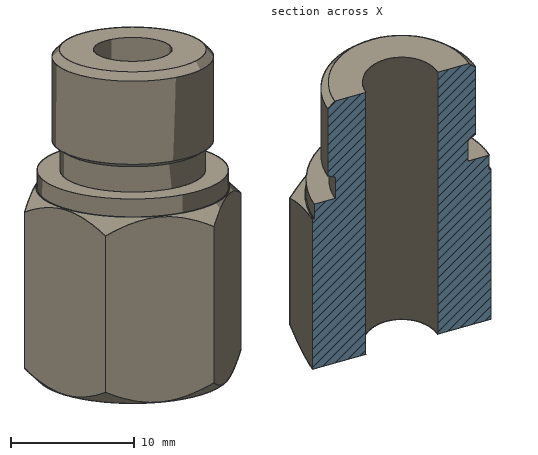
import cadquery as cq
import math

total_height = 27.7
hex_across_flats = 15.87
hex_height = 15.9
collar_diameter = 15.55
collar_top = 17.42
neck_diameter = 11.85
thread_diameter = 13.15
thread_bottom = 19.58
thread_bottom_chamfer = 0.42
thread_top_chamfer = 0.6
bore_diameter = 6.37

hex_corner_radius = hex_across_flats / math.sqrt(3)
hex_end_radius = hex_across_flats / 2 - 0.05
hex_chamfer = hex_corner_radius - hex_end_radius
collar_radius = collar_diameter / 2
neck_radius = neck_diameter / 2
thread_radius = thread_diameter / 2


def revolve_profile(points):
    """Revolve an (r, z) outline about the Z axis."""
    return cq.Workplane("XZ").polyline(points).close().revolve(360, (0, 0), (0, 1))


def hex_body():
    """Hexagonal prism with both ends turned to a 45 degree cone."""
    prism = cq.Workplane("XY").polygon(6, 2 * hex_corner_radius).extrude(hex_height)
    turned_blank = revolve_profile([
        (0, 0),
        (hex_end_radius, 0),
        (hex_corner_radius, hex_chamfer),
        (hex_corner_radius, hex_height - hex_chamfer),
        (hex_end_radius, hex_height),
        (0, hex_height),
    ])
    return prism.intersect(turned_blank)


def turned_stud():
    """Collar, undercut neck and chamfered thread blank."""
    return revolve_profile([
        (0, hex_height),
        (collar_radius, hex_height),
        (collar_radius, collar_top),
        (neck_radius, collar_top),
        (neck_radius, thread_bottom),
        (thread_radius, thread_bottom + thread_bottom_chamfer),
        (thread_radius, total_height - thread_top_chamfer),
        (thread_radius - thread_top_chamfer, total_height),
        (0, total_height),
    ])


bore = cq.Workplane("XY").circle(bore_diameter / 2).extrude(total_height)

result = hex_body().union(turned_stud()).cut(bore)